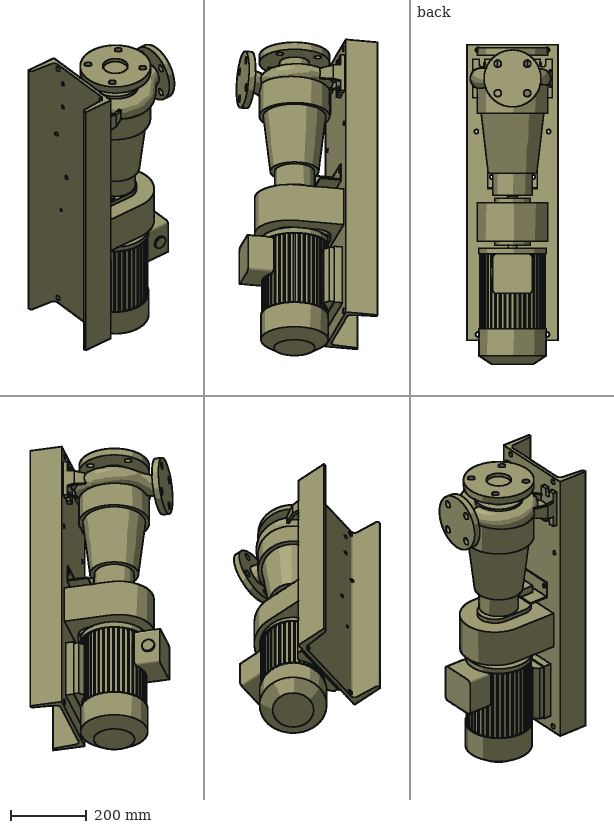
import cadquery as cq
import math


overall_height = 843

channel_length = 780.0
channel_width = 240.0
channel_depth = 86.0
web_thickness = 10.0
flange_root_thickness = 17.0
flange_toe_thickness = 10.0
root_radius = 13.0
toe_radius = 6.0
mount_y = -111.0

flange_radius = 93
suction_top = 771.0
suction_flange_thickness = 20.0
suction_neck_radius = 40.0
suction_bore_radius = 33.0
suction_bore_depth = 10.0
suction_bolt_circle = 72.5
bolt_hole_radius = 9.0
bolt_count = 4
casing_top = 718.0
casing_core_radius = 63.0
drum_bottom = 598.5
cone_top_radius = 83.0
cone_bottom_radius = 64.0
cone_bottom = 441.0
bearing_radius = 52.0
bearing_bottom = 383.0
seal_radius = 16.0
seal_bottom = 379

pipe_radius = 28.0
pipe_z = casing_top - pipe_radius
outlet_face_y = 140.0
outlet_flange_radius = 75.0
outlet_flange_thickness = 18.0
outlet_bolt_circle = 55.0
volute_start_radius = 72.0
volute_end_radius = 83.5
tongue_tube_radius = 24.0
tongue_angle = 90
volute_end_angle = 360
volute_step_angle = 30
elbow_radius = 80.0
elbow_angle = 59
outlet_lean = 0.2

pad_outer_x = 105.0
pad_inner_x = 55.0
pad_top_y = -100.0
pad_half_height = 51
pad_slot_x = 80.0
pad_slot_width = 15.0
leg_web_thickness = 10.0
leg_shoulder_y = -81.0
leg_tip_x = 88.5
leg_tip_y = -47.0
leg_inner_tip_x = 28.0
leg_inner_tip_y = -91.0
leg_inner_foot_y = -106.0
leg_inner_wall = 9.0
leg_wall = 8.0
leg_base_half_height = 23.0
leg_tip_half_height = 13.5

lug_half_width = 25
lug_top_y = -51
lug_bottom_y = -94.0
lug_height = 20.0

bracket_half_width = 66.0
bracket_bottom = 400.0
bracket_height = 45.5
bracket_foot_thickness = 2.5
bracket_sheet_thickness = 3.0
bracket_top_y = -55.0

shaft_radius = 12.0
guard_radius = 93
guard_centre_y = 13.0
guard_top = 363.0
guard_bottom = 261
cover_radius = 46.0
cover_lower_y = -51
cover_top = 375.0
cover_bottom = 251.0

motor_radius = 88.5
motor_top = 244.0
end_shield_bottom = 228.5
fin_radius = 86.0
fin_count = 40
fin_gap_width = 4.0
fin_gap_depth = 4.0
cowl_top = 30.0
cowl_cone_top = -40.5
cowl_bottom = channel_length - overall_height
cowl_end_radius = 54.0
box_half_width = 52.0
box_top_y = 137.0
box_top = 228.5
box_bottom = 124.0
box_corner_radius = 10.0
gland_radius = 17
gland_length = 5.0
gland_y = 107.0
motor_foot_top = 202
motor_foot_bottom = 43.0
motor_foot_step = 2.5
motor_foot_half_width = 80.0
motor_foot_top_y = -89.0
saddle_half_width = 77.5
saddle_edge_y = -77.0
saddle_top_half_width = 63.0
saddle_top_y = -65.0

bracket_hole_x = 55.0
bracket_hole_z = 431.0
screw_hole_radius = 5.0
pump_hole_offset = 38.0
channel_holes = [
    (90.0, 765.5, 7.0),
    (90.0, 16.0, 7.0),
    (70.0, pipe_z + pump_hole_offset, screw_hole_radius),
    (70.0, pipe_z - pump_hole_offset, screw_hole_radius),
    (95.0, 550.5, screw_hole_radius),
    (bracket_hole_x, bracket_hole_z, screw_hole_radius),
    (77.0, 311.0, 3.0),
]


def cylinder(radius, bottom, top):
    """Upright cylinder on the machine axis."""
    return cq.Workplane("XY").workplane(offset=bottom).circle(radius).extrude(top - bottom)


def cone(bottom_radius, bottom, top_radius, top):
    """Upright truncated cone on the machine axis."""
    profile = [(0, bottom), (bottom_radius, bottom), (top_radius, top), (0, top)]
    return cq.Workplane("XZ").polyline(profile).close().revolve(360, (0, 0), (0, 1))


def block(x_range, y_range, z_range):
    """Box given by its limits along each axis."""
    size = [high - low for low, high in (x_range, y_range, z_range)]
    corner = (x_range[0], y_range[0], z_range[0])
    return cq.Workplane("XY").box(*size, centered=False).translate(corner)


def prism(points, bottom, top):
    """Upright prism over a polygon in the XY plane."""
    return cq.Workplane("XY").workplane(offset=bottom).polyline(points).close().extrude(top - bottom)


def cross_cylinder(x, z, radius, start_y, end_y):
    """Cylinder along Y."""
    rod = cq.Solid.makeCylinder(radius, end_y - start_y, cq.Vector(x, start_y, z), cq.Vector(0, 1, 0))
    return cq.Workplane(rod)


def make_channel():
    half = channel_width / 2
    toe_y = mount_y - channel_depth
    web_y = mount_y - web_thickness
    root_x = half - flange_root_thickness
    toe_x = half - flange_toe_thickness
    outline = [
        (-half, mount_y), (half, mount_y), (half, toe_y), (toe_x, toe_y), (root_x, web_y),
        (-root_x, web_y), (-toe_x, toe_y), (-half, toe_y),
    ]
    channel = prism(outline, 0, channel_length)
    mid = channel_length / 2
    for side in (-1, 1):
        channel = channel.edges(cq.NearestToPointSelector((side * root_x, web_y, mid))).fillet(root_radius)
        channel = channel.edges(cq.NearestToPointSelector((side * toe_x, toe_y, mid))).fillet(toe_radius)
    for x, z, radius in channel_holes:
        for side in (-1, 1):
            channel = channel.cut(cross_cylinder(side * x, z, radius, toe_y, mount_y))
    return channel


def make_suction():
    """Suction flange and neck with a blind bore."""
    flange_bottom = suction_top - suction_flange_thickness
    suction = cylinder(flange_radius, flange_bottom, suction_top)
    bolt_holes = (
        cq.Workplane("XY").workplane(offset=flange_bottom)
        .polarArray(suction_bolt_circle, 180 / bolt_count, 360, bolt_count)
        .circle(bolt_hole_radius).extrude(suction_flange_thickness)
    )
    suction = suction.cut(bolt_holes).union(cylinder(suction_neck_radius, casing_top, flange_bottom))
    return suction.cut(cylinder(suction_bore_radius, suction_top - suction_bore_depth, suction_top))


def volute_section(angle):
    """Tube section at an angle about the axis, growing from the tongue to the elbow."""
    growth = (angle - tongue_angle) / (volute_end_angle - tongue_angle)
    tube_radius = tongue_tube_radius + growth * (pipe_radius - tongue_tube_radius)
    path_radius = volute_start_radius + growth * (volute_end_radius - volute_start_radius)
    cosine = math.cos(math.radians(angle))
    sine = math.sin(math.radians(angle))
    centre = cq.Vector(path_radius * cosine, path_radius * sine, pipe_z)
    plane = cq.Plane(origin=centre, xDir=cq.Vector(cosine, sine, 0), normal=cq.Vector(-sine, cosine, 0))
    return cq.Workplane(plane).circle(tube_radius).wires().val()


def make_volute():
    """Spiral tube around the casing, its outlet elbow and the outlet flange."""
    angles = range(tongue_angle, volute_end_angle + 1, volute_step_angle)
    spiral = cq.Workplane(cq.Solid.makeLoft([volute_section(angle) for angle in angles]))
    flange_back_y = outlet_face_y - outlet_flange_thickness
    flange_mid_y = outlet_face_y - outlet_flange_thickness / 2
    elbow_middle = (
        elbow_radius * math.cos(math.radians(elbow_angle)),
        elbow_radius * math.sin(math.radians(elbow_angle)),
    )
    path_points = [(volute_end_radius, 0), elbow_middle, (0, flange_mid_y)]
    path = (
        cq.Workplane("XY").workplane(offset=pipe_z)
        .spline(path_points, tangents=[(0, 1), (-outlet_lean, 1)])
    )
    elbow = cq.Workplane("XZ", origin=(volute_end_radius, 0, pipe_z)).circle(pipe_radius).sweep(path)
    flange = cross_cylinder(0, pipe_z, outlet_flange_radius, flange_back_y, outlet_face_y)
    hole_offset = outlet_bolt_circle * math.sqrt(0.5)
    for x in (-hole_offset, hole_offset):
        for z in (pipe_z - hole_offset, pipe_z + hole_offset):
            flange = flange.cut(cross_cylinder(x, z, bolt_hole_radius, flange_back_y, outlet_face_y))
    return spiral.union(elbow).union(flange)


def make_pump_leg():
    """Left leg: slotted pad, thin web and tapered strips along both edges of the web."""
    inner_tip = (-leg_inner_tip_x, leg_inner_tip_y)
    inner_foot = (-pad_inner_x, leg_inner_foot_y)
    recess_tip = (-leg_inner_tip_x - leg_inner_wall, leg_inner_tip_y)
    outline = [
        (-pad_outer_x, pad_top_y), (-pad_outer_x, leg_shoulder_y), (-leg_tip_x, leg_tip_y),
        inner_tip, inner_foot, (-pad_inner_x, pad_top_y),
    ]
    recess = [
        (leg_wall - pad_outer_x, pad_top_y), (leg_wall - pad_outer_x, leg_shoulder_y),
        (leg_wall - leg_tip_x, leg_tip_y), recess_tip, (-pad_inner_x, pad_top_y),
    ]
    low = pipe_z - pad_half_height
    high = pipe_z + pad_half_height
    taper_profile = [
        (inner_foot[1], pipe_z - leg_base_half_height), (pad_top_y, pipe_z - leg_base_half_height),
        (leg_tip_y, pipe_z - leg_tip_half_height), (leg_tip_y, pipe_z + leg_tip_half_height),
        (pad_top_y, pipe_z + leg_base_half_height), (inner_foot[1], pipe_z + leg_base_half_height),
    ]
    taper = cq.Workplane("YZ").polyline(taper_profile).close().extrude(-pad_outer_x)
    leg = prism(outline, low, high).intersect(taper)
    leg = leg.cut(prism(recess, low, pipe_z - leg_web_thickness / 2))
    leg = leg.cut(prism(recess, pipe_z + leg_web_thickness / 2, high))

    pad = block((-pad_outer_x, -pad_inner_x), (mount_y, pad_top_y), (low, high))
    slot_radius = pad_slot_width / 2
    slot_sides = (-pad_slot_x - slot_radius, -pad_slot_x + slot_radius)
    for slot_z, edge_z in ((pipe_z + pump_hole_offset, high), (pipe_z - pump_hole_offset, low)):
        pad = pad.cut(cross_cylinder(-pad_slot_x, slot_z, slot_radius, mount_y, pad_top_y))
        pad = pad.cut(block(slot_sides, (mount_y, pad_top_y), sorted((slot_z, edge_z))))
    return leg.union(pad)


def make_pump():
    pump = cylinder(casing_core_radius, pipe_z, casing_top)
    pump = pump.union(cylinder(flange_radius, drum_bottom, pipe_z))
    pump = pump.union(cone(cone_bottom_radius, cone_bottom, cone_top_radius, drum_bottom))
    pump = pump.union(cylinder(bearing_radius, bearing_bottom, cone_bottom))
    pump = pump.union(cone(shaft_radius, seal_bottom, seal_radius, bearing_bottom))
    pump = pump.union(make_suction()).union(make_volute())
    left_leg = make_pump_leg()
    pump = pump.union(left_leg).union(left_leg.mirror("YZ"))
    lug_bottom = bracket_bottom + bracket_sheet_thickness
    lug = block(
        (-lug_half_width, lug_half_width), (lug_bottom_y, lug_top_y), (lug_bottom, lug_bottom + lug_height)
    )
    return pump.union(lug)


def make_bracket():
    """Bent sheet that carries the bearing end of the pump."""
    width = (-bracket_half_width, bracket_half_width)
    foot_top_y = mount_y + bracket_foot_thickness
    foot = block(width, (mount_y, foot_top_y), (bracket_bottom, bracket_bottom + bracket_height))
    for side in (-1, 1):
        foot = foot.cut(
            cross_cylinder(side * bracket_hole_x, bracket_hole_z, screw_hole_radius, mount_y, foot_top_y)
        )
    sheet_top = bracket_bottom + bracket_sheet_thickness
    return foot.union(block(width, (mount_y, bracket_top_y), (bracket_bottom, sheet_top)))


def make_shaft():
    return cylinder(shaft_radius, motor_top, seal_bottom)


def arch(radius, lower_y, bottom, top):
    """Block rounded at the +Y end about the guard centre and running straight down to lower_y."""
    return (
        cq.Workplane("XY").workplane(offset=bottom)
        .moveTo(-radius, lower_y).lineTo(-radius, guard_centre_y)
        .threePointArc((0, guard_centre_y + radius), (radius, guard_centre_y))
        .lineTo(radius, lower_y).close().extrude(top - bottom)
    )


def make_guard():
    guard = arch(guard_radius, mount_y, guard_bottom, guard_top)
    cover = arch(cover_radius, cover_lower_y, cover_bottom, cover_top)
    cover_end = cylinder(cover_radius, cover_bottom, cover_top).translate((0, cover_lower_y, 0))
    return guard.union(cover).union(cover_end).cut(make_shaft())


def make_motor_foot():
    foot = block(
        (-motor_foot_half_width, motor_foot_half_width), (mount_y, motor_foot_top_y),
        (motor_foot_bottom, motor_foot_top),
    )
    saddle = [
        (-saddle_half_width, motor_foot_top_y), (-saddle_half_width, saddle_edge_y),
        (-saddle_top_half_width, saddle_top_y), (saddle_top_half_width, saddle_top_y),
        (saddle_half_width, saddle_edge_y), (saddle_half_width, motor_foot_top_y),
    ]
    return foot.union(prism(saddle, motor_foot_bottom + motor_foot_step, motor_foot_top - motor_foot_step))


def make_terminal_box():
    box = block((-box_half_width, box_half_width), (0, box_top_y), (box_bottom, box_top))
    box = box.edges("|Y").fillet(box_corner_radius)
    gland = cq.Solid.makeCylinder(
        gland_radius, gland_length,
        cq.Vector(box_half_width, gland_y, (box_bottom + box_top) / 2), cq.Vector(1, 0, 0),
    )
    return box.union(cq.Workplane(gland))


def make_motor():
    body = cylinder(fin_radius, cowl_top, end_shield_bottom)
    gaps = (
        cq.Workplane("XY").workplane(offset=cowl_top)
        .polarArray(fin_radius, 180 / fin_count, 360, fin_count)
        .rect(2 * fin_gap_depth, fin_gap_width).extrude(end_shield_bottom - cowl_top)
    )
    motor = body.cut(gaps)
    motor = motor.union(cylinder(motor_radius, end_shield_bottom, motor_top))
    motor = motor.union(cylinder(motor_radius, cowl_cone_top, cowl_top))
    motor = motor.union(cone(cowl_end_radius, cowl_bottom, motor_radius, cowl_cone_top))
    return motor.union(make_terminal_box()).union(make_motor_foot())


channel = make_channel()
pump = make_pump()
bracket = make_bracket()
shaft = make_shaft()
guard = make_guard()
motor = make_motor()

bodies = [channel, pump, bracket, shaft, guard, motor]
result = cq.Compound.makeCompound([solid for body in bodies for solid in body.solids().vals()])